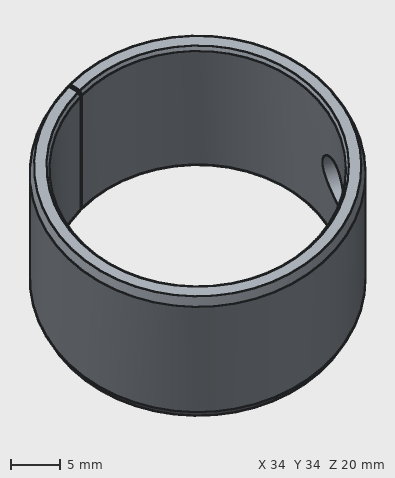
import cadquery as cq

outer_diameter = 34.0
inner_diameter = 30.0
height = 20.0

outer_chamfer_height = 1.2
outer_chamfer_width = 0.45
inner_chamfer_height = 0.5
inner_chamfer_width = 0.3

split_angle = 1.0
wall_sweep = 360 - split_angle

oil_hole_diameter = 6.0
oil_hole_angle_from_split = 120.0
oil_hole_angle = 180 - split_angle - oil_hole_angle_from_split

outer_radius = outer_diameter / 2
inner_radius = inner_diameter / 2
half_height = height / 2


def bushing_ring():
    """Revolve the chamfered wall section about Z from -X, leaving the split open."""
    chamfer_start = half_height - outer_chamfer_height
    inner_chamfer_start = half_height - inner_chamfer_height
    end_outer_radius = outer_radius - outer_chamfer_width
    end_inner_radius = inner_radius + inner_chamfer_width
    wall_section = [
        (inner_radius, -inner_chamfer_start),
        (end_inner_radius, -half_height),
        (end_outer_radius, -half_height),
        (outer_radius, -chamfer_start),
        (outer_radius, chamfer_start),
        (end_outer_radius, half_height),
        (end_inner_radius, half_height),
        (inner_radius, inner_chamfer_start),
    ]
    profile = cq.Workplane("XZ").polyline(wall_section).close()
    ring = profile.revolve(wall_sweep, (0, 0), (0, 1))
    return ring.rotate((0, 0, 0), (0, 0, 1), 180)


def oil_hole_cutter():
    """Radial cylinder from the axis out through one wall at mid-height."""
    cylinder = cq.Workplane("YZ").circle(oil_hole_diameter / 2).extrude(outer_diameter)
    return cylinder.rotate((0, 0, 0), (0, 0, 1), oil_hole_angle)


result = bushing_ring().cut(oil_hole_cutter())